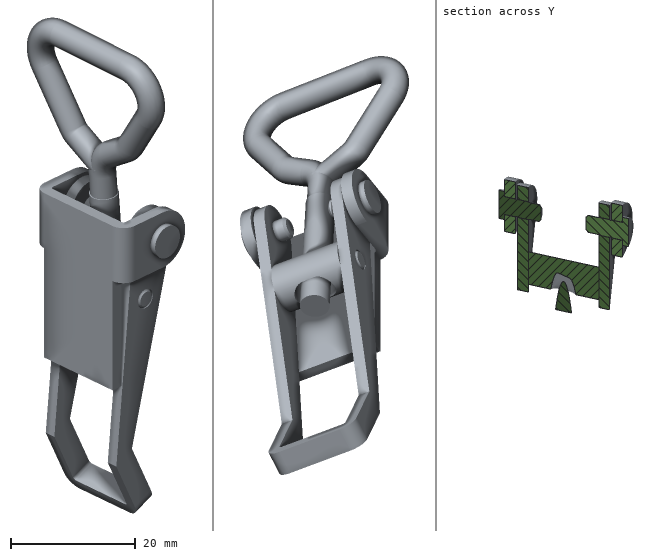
import cadquery as cq
import math


SHEET_THICKNESS = 2.0
BEND_OUTER_RADIUS = 2.5
BEND_INNER_RADIUS = BEND_OUTER_RADIUS - SHEET_THICKNESS

BRACKET_HALF_WIDTH = 10.2
EAR_RADIUS = 5.0
BRACKET_FACE_Y = -8.95
BRACKET_BOTTOM_Z = -25.0

LEVER_HALF_WIDTH = 8.0
LEVER_HUB_RADIUS = 4.5
LEVER_KNEE = (-8.35, -39.05)
TAIL_ANGLE = 25
TAIL_LENGTH = 12.45
TAIL_INNER_LENGTH = 12.7
TAIL_WIDTH = 4.0
FORK_REACH = 68.2

RIVET_RADIUS = 1.8
RIVET_HEAD_RADIUS = 2.8
RIVET_HEAD_HEIGHT = 1.0
RIVET_TIP_X = 3.8
RIVET_CHAMFER = 0.4

TRUNNION_Y = -1.8
TRUNNION_Z = -10.9
TRUNNION_RADIUS = 4.0
PIN_RADIUS = 1.7
PIN_END_X = 8.2
PIN_CHAMFER = 0.4
BOLT_SLOT_LENGTH = 7.0
BOLT_SLOT_WIDTH = 4.95

BOLT_TILT = 4.7
BOLT_TWIST = -1.2
WIRE_RADIUS = 2.2
THREAD_RADIUS = 2.4
THREAD_BOTTOM = -7.0
THREAD_TOP = 17.0
HANDLE_TOP = 43.7
HANDLE_CORNER_RADIUS = 4.95
NECK_BEND_RADIUS = 5.0
RIGHT_KNEE_RADIUS = 4.3
LEFT_KNEE_RADIUS = 2.5
NECK_CORNER = (0, 23.7)
RIGHT_KNEE = (6.8, 28.1)
RIGHT_CORNER = (17.0, HANDLE_TOP)
LEFT_CORNER = (-16.6, HANDLE_TOP)
LEFT_KNEE = (-6.0, 26.0)
LEFT_END = (0.5, 22.1)


def x_cylinder(radius, x_start, x_end, y=0, z=0):
    """A cylinder parallel to X from x_start to x_end."""
    return cq.Workplane("YZ", origin=(x_start, y, z)).circle(radius).extrude(x_end - x_start)


def rounded_slab(plane, half_width, start, size, radius):
    """A slab from start to size along the plane's Y, with its two starting corners rounded."""
    diagonal = radius * (1 - math.sqrt(0.5))
    return (
        cq.Workplane(plane)
        .moveTo(half_width, size)
        .lineTo(half_width, start + radius)
        .threePointArc((half_width - diagonal, start + diagonal), (half_width - radius, start))
        .lineTo(radius - half_width, start)
        .threePointArc((diagonal - half_width, start + diagonal), (-half_width, start + radius))
        .lineTo(-half_width, size)
        .close()
        .extrude(size, both=True)
    )


def make_bracket():
    """Flat plate with two round ears bent back around the lever."""
    ear_length = EAR_RADIUS - BRACKET_FACE_Y
    inner_half = BRACKET_HALF_WIDTH - SHEET_THICKNESS
    face_plane = cq.Plane(origin=(0, BRACKET_FACE_Y, 0), xDir=(1, 0, 0), normal=(0, 0, 1))
    outside = rounded_slab(face_plane, BRACKET_HALF_WIDTH, 0, ear_length, BEND_OUTER_RADIUS)
    inside = rounded_slab(face_plane, inner_half, SHEET_THICKNESS, ear_length, BEND_INNER_RADIUS)
    ear_outline = (
        cq.Workplane("YZ", origin=(-BRACKET_HALF_WIDTH, 0, 0))
        .moveTo(BRACKET_FACE_Y, -EAR_RADIUS)
        .lineTo(0, -EAR_RADIUS)
        .threePointArc((EAR_RADIUS, 0), (0, EAR_RADIUS))
        .lineTo(BRACKET_FACE_Y, EAR_RADIUS)
        .close()
        .extrude(2 * BRACKET_HALF_WIDTH)
    )
    plate_half_width = BRACKET_HALF_WIDTH - BEND_OUTER_RADIUS
    plate = cq.Workplane("XY", origin=(0, BRACKET_FACE_Y, BRACKET_BOTTOM_Z)).box(
        2 * plate_half_width, SHEET_THICKNESS, -BRACKET_BOTTOM_Z, centered=(True, False, False)
    )
    rivet_holes = x_cylinder(RIVET_RADIUS, -BRACKET_HALF_WIDTH, BRACKET_HALF_WIDTH)
    return outside.cut(inside).intersect(ear_outline).union(plate).cut(rivet_holes)


def hub_tangent_point(point, side):
    """Where the line from a (y, z) point touches the lever hub, on its +1 or -1 side in Y."""
    distance = math.hypot(*point)
    bearing = math.atan2(point[1], point[0])
    angle = bearing + side * math.acos(LEVER_HUB_RADIUS / distance)
    return (LEVER_HUB_RADIUS * math.cos(angle), LEVER_HUB_RADIUS * math.sin(angle))


def make_lever():
    """Fork of two tapered arms joined across the end of the bent tail."""
    tilt = math.radians(TAIL_ANGLE)
    along = (math.sin(tilt), -math.cos(tilt))
    across = (math.cos(tilt), math.sin(tilt))
    tail_front = tuple(k + TAIL_LENGTH * a for k, a in zip(LEVER_KNEE, along))
    tail_back = tuple(f + TAIL_WIDTH * c for f, c in zip(tail_front, across))
    inner_knee = tuple(b - TAIL_INNER_LENGTH * a for b, a in zip(tail_back, along))
    profile = (
        cq.Workplane("YZ", origin=(-LEVER_HALF_WIDTH, 0, 0))
        .polyline([hub_tangent_point(LEVER_KNEE, -1), LEVER_KNEE, tail_front, tail_back, inner_knee])
        .lineTo(*hub_tangent_point(inner_knee, 1))
        .threePointArc((0, LEVER_HUB_RADIUS), hub_tangent_point(LEVER_KNEE, -1))
        .close()
        .extrude(2 * LEVER_HALF_WIDTH)
    )
    tail_plane = cq.Plane(origin=(0, *tail_front), xDir=(1, 0, 0), normal=(0, -across[0], -across[1]))
    inner_half = LEVER_HALF_WIDTH - SHEET_THICKNESS
    strap_outside = rounded_slab(tail_plane, LEVER_HALF_WIDTH, 0, FORK_REACH, BEND_OUTER_RADIUS)
    strap_inside = rounded_slab(tail_plane, inner_half, SHEET_THICKNESS, FORK_REACH, BEND_INNER_RADIUS)
    pin_holes = x_cylinder(PIN_RADIUS, -LEVER_HALF_WIDTH, LEVER_HALF_WIDTH, TRUNNION_Y, TRUNNION_Z)
    rivet_holes = x_cylinder(RIVET_RADIUS, -LEVER_HALF_WIDTH, LEVER_HALF_WIDTH)
    return profile.intersect(strap_outside.cut(strap_inside)).cut(pin_holes).cut(rivet_holes)


def make_rivet(side):
    """One hinge rivet: side is -1 for the -X ear and +1 for the +X ear."""
    ear_face = side * BRACKET_HALF_WIDTH
    shank = x_cylinder(RIVET_RADIUS, side * RIVET_TIP_X, ear_face)
    shank = shank.faces("<X" if side > 0 else ">X").chamfer(RIVET_CHAMFER)
    head = x_cylinder(RIVET_HEAD_RADIUS, ear_face, ear_face + side * RIVET_HEAD_HEIGHT)
    return shank.union(head)


def along_bolt(body):
    """Turn a body built upright at the origin onto the bolt axis through the trunnion."""
    return (
        body.rotate((0, 0, 0), (0, 0, 1), BOLT_TWIST)
        .rotate((0, 0, 0), (1, 0, 0), BOLT_TILT)
        .translate((0, TRUNNION_Y, TRUNNION_Z))
    )


def make_trunnion():
    """Barrel between the lever arms with a pin at each end and a slot for the draw bolt."""
    barrel_half = LEVER_HALF_WIDTH - SHEET_THICKNESS
    pin = x_cylinder(PIN_RADIUS, -PIN_END_X, PIN_END_X, TRUNNION_Y, TRUNNION_Z)
    pin = pin.faces("<X or >X").chamfer(PIN_CHAMFER)
    barrel = x_cylinder(TRUNNION_RADIUS, -barrel_half, barrel_half, TRUNNION_Y, TRUNNION_Z)
    bolt_slot = (
        cq.Workplane("XY").slot2D(BOLT_SLOT_LENGTH, BOLT_SLOT_WIDTH).extrude(2 * TRUNNION_RADIUS, both=True)
    )
    return barrel.union(pin).cut(along_bolt(bolt_slot))


def rounded_path(corners, radii):
    """A path in the XZ plane through (x, z) corners, each inner corner rounded with its own radius."""
    points = [cq.Vector(x, 0, z) for x, z in corners]
    edges = []
    here = points[0]
    for before, corner, after, radius in zip(points, points[1:], points[2:], radii):
        back = (before - corner).normalized()
        ahead = (after - corner).normalized()
        half_angle = back.getAngle(ahead) / 2
        setback = radius / math.tan(half_angle)
        arc_start = corner + back * setback
        arc_end = corner + ahead * setback
        arc_middle = corner + (back + ahead).normalized() * (radius / math.sin(half_angle) - radius)
        edges.append(cq.Edge.makeLine(here, arc_start))
        edges.append(cq.Edge.makeThreePointArc(arc_start, arc_middle, arc_end))
        here = arc_end
    edges.append(cq.Edge.makeLine(here, points[-1]))
    return cq.Wire.assembleEdges(edges)


def make_wire(corners, radii):
    """Round wire bent along a rounded path."""
    start = cq.Vector(corners[0][0], 0, corners[0][1])
    direction = cq.Vector(corners[1][0], 0, corners[1][1]) - start
    section = cq.Workplane(cq.Plane(origin=start, xDir=(0, -1, 0), normal=direction)).circle(WIRE_RADIUS)
    return section.sweep(cq.Workplane(rounded_path(corners, radii)))


def make_draw_bolt():
    """Threaded rod with a triangular pull loop of bent wire."""
    thread = (
        cq.Workplane("XY", origin=(0, 0, THREAD_BOTTOM))
        .circle(THREAD_RADIUS)
        .extrude(THREAD_TOP - THREAD_BOTTOM)
    )
    bar_middle = (0, HANDLE_TOP)
    right_half = make_wire(
        [(0, THREAD_TOP), NECK_CORNER, RIGHT_KNEE, RIGHT_CORNER, bar_middle],
        [NECK_BEND_RADIUS, RIGHT_KNEE_RADIUS, HANDLE_CORNER_RADIUS],
    )
    left_half = make_wire(
        [bar_middle, LEFT_CORNER, LEFT_KNEE, LEFT_END],
        [HANDLE_CORNER_RADIUS, LEFT_KNEE_RADIUS],
    )
    return along_bolt(thread.union(right_half).union(left_half))


bracket = make_bracket()
lever = make_lever()
rivets = [make_rivet(side).val() for side in (-1, 1)]
trunnion = make_trunnion()
draw_bolt = make_draw_bolt()

result = cq.Compound.makeCompound(
    [
        bracket.val(),
        lever.val(),
        *rivets,
        trunnion.val(),
        draw_bolt.val(),
    ]
)